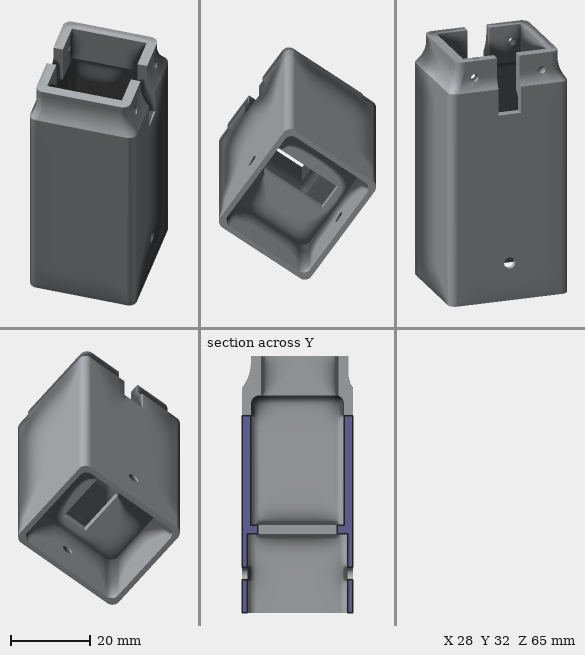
import cadquery as cq
import math

height = 65.0
body_x = 28.0
body_y = 32.0
corner_radius = 2.0
wall = 2.3
shoulder_z = height - 8.0
bottom_wall = 1.35

neck_inset = 2.2
neck_inset_left = 1.1
neck_wall = 2.55
flare_radius = 10.0
flare_radius_left = 5.0
flare_sections = 17

cavity_top = height - 10.0
cavity_radius = 2.0

partition_z = 20.0
partition_thickness = wall

partition_slot_x = 20.0
partition_slot_y = 7.0
side_slot_width = 6.0
side_slot_depth = 15.0
pin_hole_diameter = 2.0
pin_hole_spacing = 18.0
pin_hole_z = height - 4.55
screw_hole_diameter = 3.0
screw_hole_z = partition_z / 2

neck_left = neck_inset_left - body_x / 2
neck_right = body_x / 2 - neck_inset
neck_front = neck_inset - body_y / 2
neck_back = -neck_front


def box(x_min, x_max, y_min, y_max, z_min, z_max):
    """Box given by its limits."""
    size = (x_max - x_min, y_max - y_min, z_max - z_min)
    return cq.Workplane("XY").box(*size, centered=False).translate((x_min, y_min, z_min))


def centred_box(size_x, size_y, z_min, z_max):
    """Box centred on the Z axis."""
    return box(-size_x / 2, size_x / 2, -size_y / 2, size_y / 2, z_min, z_max)


def rounded_box(size_x, size_y, z_min, z_max):
    """Centred box with rounded upright edges."""
    return centred_box(size_x, size_y, z_min, z_max).edges("|Z").fillet(corner_radius)


def flare_rise(inset, radius):
    """Height above the shoulder at which the flare arc becomes tangent to the neck."""
    return math.sqrt(radius**2 - (radius - inset) ** 2)


def flare_reach(rise, inset, radius):
    """Distance from the neck face out to the flare arc at a given height above the shoulder."""
    drop = max(flare_rise(inset, radius) - rise, 0)
    return radius - math.sqrt(radius**2 - drop**2)


def flare_section(rise):
    """Rounded rectangle around the flare at a given height above the shoulder."""
    reach = flare_reach(rise, neck_inset, flare_radius)
    reach_left = flare_reach(rise, neck_inset_left, flare_radius_left)
    size_x = neck_right - neck_left + reach + reach_left
    size_y = neck_back - neck_front + 2 * reach
    center_x = (neck_right + reach + neck_left - reach_left) / 2
    return (
        cq.Sketch()
        .rect(size_x, size_y)
        .vertices()
        .fillet(corner_radius)
        .moved(cq.Location(cq.Vector(center_x, 0, shoulder_z + rise)))
    )


def make_neck():
    """Neck prism standing on a concave flare that widens down to the shoulder."""
    flare_top = flare_rise(neck_inset, flare_radius)
    rises = [flare_top * step / (flare_sections - 1) for step in range(flare_sections)]
    flare = cq.Workplane("XY").placeSketch(*[flare_section(rise) for rise in rises]).loft()
    collar = rounded_box(
        neck_right - neck_left, neck_back - neck_front, shoulder_z + flare_top, height
    ).translate(((neck_left + neck_right) / 2, 0, 0))
    return flare.union(collar)


def make_shell():
    """Solid outer form of the part."""
    body = rounded_box(body_x, body_y, 0, shoulder_z)
    return body.union(make_neck())


def make_interior():
    """Hollow of the tube: neck opening, rounded upper cavity, partition slot and open bottom."""
    inner_x = body_x - 2 * wall
    inner_y = body_y - 2 * wall
    partition_top = partition_z + partition_thickness
    opening = box(
        neck_left + neck_wall,
        neck_right - neck_wall,
        neck_front + neck_wall,
        neck_back - neck_wall,
        partition_top,
        height,
    )
    cavity = (
        centred_box(inner_x, inner_y, partition_top, cavity_top)
        .edges("|Z or >Z")
        .fillet(cavity_radius)
    )
    bottom = rounded_box(body_x - 2 * bottom_wall, body_y - 2 * bottom_wall, 0, partition_z)
    slot = centred_box(partition_slot_x, partition_slot_y, 0, partition_top)
    return cavity.union(opening).union(bottom).union(slot)


def cross_hole(y, z, diameter):
    """Round hole along X through both side walls."""
    return (
        cq.Workplane("YZ").center(y, z).circle(diameter / 2).extrude(body_x / 2, both=True)
    )


side_slots = centred_box(body_x, side_slot_width, height - side_slot_depth, height)

result = make_shell().cut(make_interior()).cut(side_slots)
result = result.cut(cross_hole(0, screw_hole_z, screw_hole_diameter))
for side in (-1, 1):
    result = result.cut(cross_hole(side * pin_hole_spacing / 2, pin_hole_z, pin_hole_diameter))